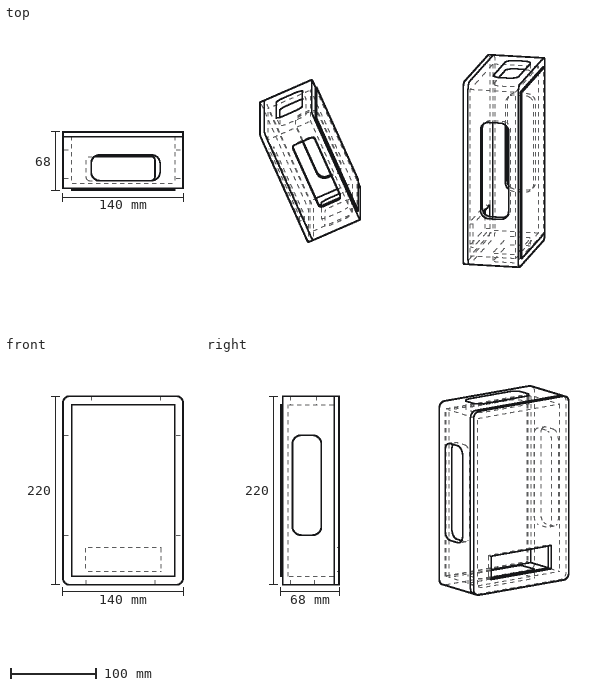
import cadquery as cq

CASE_WIDTH = 140.0
CASE_HEIGHT = 220.0
CASE_CORNER_RADIUS = 8.0
HOUSING_DEPTH = 60.0
LID_THICKNESS = 6.0

SIDE_WALL = 10.0
FRONT_WALL = LID_THICKNESS

SCREEN_WIDTH = 120.0
SCREEN_HEIGHT = 200.0
SCREEN_THICKNESS = 2.0

END_OPENING_WIDTH = 80.0
END_OPENING_SHIFT = 3.0
END_OPENING_FRONT = 9.2
TOP_OPENING_DEPTH = 30.0
TOP_OPENING_RADIUS = 10.0
BOTTOM_OPENING_DEPTH = 28.0
BOTTOM_OPENING_RADIUS = 4.0

SIDE_OPENING_HEIGHT = 116.0
SIDE_OPENING_DEPTH = 33.5
SIDE_OPENING_FRONT = 11.7
SIDE_OPENING_RADIUS = 10.0
SIDE_OPENING_RISE = 6.2

WINDOW_WIDTH = 88.0
WINDOW_HEIGHT = 28.0
WINDOW_TOP = -66.0


def block(width, depth, height, front):
    """Box centred on X and Z, starting at Y = front and extending toward +Y."""
    return cq.Workplane("XY").box(width, depth, height).translate((0, front + depth / 2, 0))


def rounded_plate(depth, front):
    """Case outline with its four rounded corners, extruded along Y."""
    return block(CASE_WIDTH, depth, CASE_HEIGHT, front).edges("|Y").fillet(CASE_CORNER_RADIUS)


def end_opening_cutter(depth, radius, shift, side):
    """Rounded block through the top wall (side = 1) or the bottom wall (side = -1)."""
    wall_middle = side * (CASE_HEIGHT - SIDE_WALL) / 2
    cutter = block(END_OPENING_WIDTH, depth, SIDE_WALL, END_OPENING_FRONT).edges("|Z").fillet(radius)
    return cutter.translate((shift, 0, wall_middle))


def side_opening_cutter():
    """Rounded block through both side walls."""
    cutter = block(CASE_WIDTH, SIDE_OPENING_DEPTH, SIDE_OPENING_HEIGHT, SIDE_OPENING_FRONT)
    return cutter.edges("|X").fillet(SIDE_OPENING_RADIUS).translate((0, 0, SIDE_OPENING_RISE))


def make_housing():
    """Box-shaped shell, open at the back, with openings in all four walls."""
    cavity = block(
        CASE_WIDTH - 2 * SIDE_WALL,
        HOUSING_DEPTH - FRONT_WALL,
        CASE_HEIGHT - 2 * SIDE_WALL,
        FRONT_WALL,
    )
    top_cutter = end_opening_cutter(TOP_OPENING_DEPTH, TOP_OPENING_RADIUS, END_OPENING_SHIFT, 1)
    bottom_cutter = end_opening_cutter(BOTTOM_OPENING_DEPTH, BOTTOM_OPENING_RADIUS, -END_OPENING_SHIFT, -1)
    shell = rounded_plate(HOUSING_DEPTH, 0).cut(cavity)
    return shell.cut(top_cutter).cut(bottom_cutter).cut(side_opening_cutter())


def make_lid():
    """Flat plate on the back of the housing, with a window near its lower end."""
    window_middle = WINDOW_TOP - WINDOW_HEIGHT / 2
    window = block(WINDOW_WIDTH, LID_THICKNESS, WINDOW_HEIGHT, HOUSING_DEPTH)
    return rounded_plate(LID_THICKNESS, HOUSING_DEPTH).cut(window.translate((0, 0, window_middle)))


def make_screen():
    """Thin rectangular panel on the front face of the housing."""
    return block(SCREEN_WIDTH, SCREEN_THICKNESS, SCREEN_HEIGHT, -SCREEN_THICKNESS)


housing = make_housing()
lid = make_lid()
screen = make_screen()

result = cq.Compound.makeCompound([housing.val(), lid.val(), screen.val()])